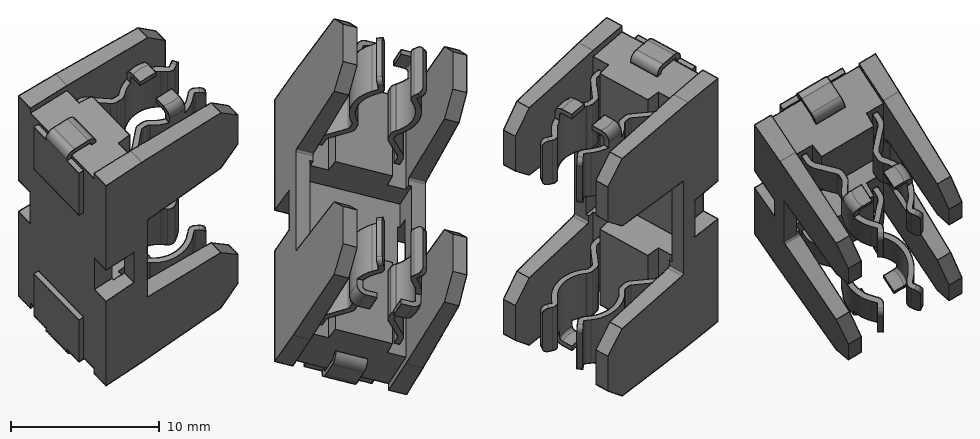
import cadquery as cq
import math


base_half_width = 4.8
tip_half_width = 4.5
bay_half_width = 3.475
housing_height = 11.5
base_half_length = 11.2
end_face_z = 10.65
bay_floor_y = 3.12

wing_shoulder_y = 10.0
wing_outer_shoulder_z = 10.94
wing_outer_tip_z = 9.4
wing_inner_tip_z = 6.2
wing_inner_shoulder_z = 4.73
wing_root_z = 4.32
rail_top_y = 3.6
wing_root_fillet = 0.15

block_top_y = 4.15
block_base_half_width = 2.15
block_top_half_width = 2.07

pocket_half_length = 3.7
pocket_half_width = 3.7
pocket_floor_y = 1.5

window_top_y = 2.43
window_inner_x = 3.53
window_base_half_length = 1.75
window_top_half_length = 1.68

sheet = 0.4
bend_radius = 0.45

spring_bottom_z = 5.7
spring_top_z = 9.7
leg_x = 2.81
leg_bend_y = 3.95
leg_bend_radius = 0.8
waist_x = 1.4
waist_start_y = 5.45
fuse_y = 8.0
cradle_radius = 2.5
cradle_apex_x = 2.21
cradle_lean = math.radians(42)
mouth_x = 1.12
mouth_bend_radius = 0.3
lip_x = 1.65
lip_y = 10.97
lip_corner_radius = 0.45

stop_width = 1.35
stop_inner_x = 0.87
stop_outer_z = 10.88

pad_width = 4.95
pad_inner_z = 5.87
pad_outer_z = 10.57
pad_face_y = -0.5
tongue_width = 2.3
tongue_outer_z = 11.35
tongue_foot_y = 2.0


def bent_strip(plane, corners, radii):
    """Closed outline of a bent sheet; its mid-line has the given corners and one radius per inner corner."""
    points = [cq.Vector(x, y) for x, y in corners]
    directions = [(end - start).normalized() for start, end in zip(points, points[1:])]

    def shifted(point, direction, offset):
        """Point moved sideways to the left of a direction."""
        moved = point + cq.Vector(-direction.y, direction.x) * offset
        return moved.x, moved.y

    def bends(offset):
        """Start, middle and end of every bend arc on the face at this offset from the mid-line."""
        arcs = []
        for corner, before, after, radius in zip(points[1:], directions, directions[1:], radii):
            turn = before.getAngle(after)
            tangent_length = radius * math.tan(turn / 2)
            towards_center = (after - before).normalized()
            arc_middle = corner + towards_center * (radius / math.cos(turn / 2) - radius)
            arcs.append((
                shifted(corner - before * tangent_length, before, offset),
                shifted(arc_middle, (before + after).normalized(), offset),
                shifted(corner + after * tangent_length, after, offset),
            ))
        return arcs

    half = sheet / 2
    outline = plane.moveTo(*shifted(points[0], directions[0], half))
    for arc_start, arc_middle, arc_end in bends(half):
        outline = outline.lineTo(*arc_start).threePointArc(arc_middle, arc_end)
    outline = outline.lineTo(*shifted(points[-1], directions[-1], half))
    outline = outline.lineTo(*shifted(points[-1], directions[-1], -half))
    for arc_start, arc_middle, arc_end in reversed(bends(-half)):
        outline = outline.lineTo(*arc_end).threePointArc(arc_middle, arc_start)
    return outline.lineTo(*shifted(points[0], directions[0], -half)).close()


def box_between(x_range, y_range, z_range):
    sizes = [high - low for low, high in (x_range, y_range, z_range)]
    return cq.Workplane(cq.Solid.makeBox(*sizes, cq.Vector(x_range[0], y_range[0], z_range[0])))


def make_housing():
    half_outline = [
        (0, base_half_length),
        (bay_floor_y, base_half_length),
        (wing_shoulder_y, wing_outer_shoulder_z),
        (housing_height, wing_outer_tip_z),
        (housing_height, wing_inner_tip_z),
        (wing_shoulder_y, wing_inner_shoulder_z),
        (rail_top_y, wing_root_z),
    ]
    mirrored_half = [(y, -z) for y, z in reversed(half_outline)]
    body = (
        cq.Workplane("YZ")
        .polyline(half_outline + mirrored_half)
        .close()
        .extrude(base_half_width, both=True)
    )
    for root_z in (-wing_root_z, wing_root_z):
        root_edge = cq.selectors.NearestToPointSelector((0, rail_top_y, root_z))
        body = body.edges("|X").edges(root_edge).fillet(wing_root_fillet)

    body = body.intersect(
        cq.Workplane("XY")
        .polyline([
            (-base_half_width, 0),
            (base_half_width, 0),
            (tip_half_width, housing_height),
            (-tip_half_width, housing_height),
        ])
        .close()
        .extrude(base_half_length, both=True)
    )

    bay = (-bay_half_width, bay_half_width)
    full_length = (-base_half_length, base_half_length)
    body = body.cut(box_between(bay, (bay_floor_y, housing_height), full_length))
    body = body.cut(box_between(bay, (0, bay_floor_y), (end_face_z, base_half_length)))
    body = body.cut(box_between(bay, (0, bay_floor_y), (-base_half_length, -end_face_z)))

    block = (
        cq.Workplane("XY")
        .polyline([
            (-block_base_half_width, bay_floor_y),
            (block_base_half_width, bay_floor_y),
            (block_top_half_width, block_top_y),
            (-block_top_half_width, block_top_y),
        ])
        .close()
        .extrude(end_face_z, both=True)
    )
    body = body.union(block)
    body = body.cut(box_between(
        (-pocket_half_width, pocket_half_width),
        (pocket_floor_y, housing_height),
        (-pocket_half_length, pocket_half_length),
    ))

    window = (
        cq.Workplane("YZ")
        .workplane(offset=window_inner_x)
        .polyline([
            (0, -window_base_half_length),
            (0, window_base_half_length),
            (window_top_y, window_top_half_length),
            (window_top_y, -window_top_half_length),
        ])
        .close()
        .extrude(base_half_width - window_inner_x)
    )
    return body.cut(window).cut(window.mirror("YZ"))


def make_spring():
    """Spring on the +X side of the +Z end, standing on the bay floor."""
    cradle_corner_x = cradle_apex_x + cradle_radius * (1 / math.cos(cradle_lean) - 1)
    corners = [
        (leg_x, bay_floor_y),
        (leg_x, leg_bend_y),
        (waist_x, waist_start_y),
        (waist_x, fuse_y - (cradle_corner_x - waist_x) / math.tan(cradle_lean)),
        (cradle_corner_x, fuse_y),
        (mouth_x, fuse_y + (cradle_corner_x - mouth_x) / math.tan(cradle_lean)),
        (lip_x, lip_y),
    ]
    radii = [leg_bend_radius, bend_radius, bend_radius, cradle_radius, mouth_bend_radius]
    plane = cq.Workplane("XY").workplane(offset=spring_bottom_z)
    leaf = bent_strip(plane, corners, radii).extrude(spring_top_z - spring_bottom_z)
    lip_middle = (lip_x, lip_y, (spring_bottom_z + spring_top_z) / 2)
    lip_end = leaf.faces(cq.selectors.NearestToPointSelector(lip_middle))
    leaf = lip_end.edges("not |Z").fillet(lip_corner_radius)

    cradle_axis_x = cradle_apex_x - cradle_radius
    fold_z = stop_outer_z - sheet / 2
    fold_corners = [
        (cradle_apex_x, spring_bottom_z),
        (cradle_apex_x, fold_z),
        (cradle_axis_x + sheet, fold_z),
    ]
    fold_plane = cq.Workplane("XZ", origin=(0, fuse_y, 0))
    fold = bent_strip(fold_plane, fold_corners, [bend_radius])
    stop = fold.revolve(360, (cradle_axis_x, 0), (cradle_axis_x, 1)).intersect(box_between(
        (stop_inner_x, cradle_apex_x + sheet),
        (fuse_y - stop_width / 2, fuse_y + stop_width / 2),
        (spring_bottom_z, stop_outer_z),
    ))
    return leaf.union(stop)


def make_terminal():
    """Solder pad under the +Z end with a tongue folded up over the end face."""
    pad = box_between(
        (-pad_width / 2, pad_width / 2),
        (pad_face_y, pad_face_y + sheet),
        (pad_inner_z, pad_outer_z),
    )
    pad_mid_y = pad_face_y + sheet / 2
    tongue_mid_z = tongue_outer_z - sheet / 2
    foot_mid_y = tongue_foot_y - sheet / 2
    corners = [
        (pad_mid_y, pad_inner_z),
        (pad_mid_y, tongue_mid_z),
        (foot_mid_y, tongue_mid_z),
        (foot_mid_y, end_face_z),
    ]
    outline = bent_strip(cq.Workplane("YZ"), corners, [bend_radius, bend_radius])
    tongue = outline.extrude(tongue_width / 2, both=True)
    return pad.union(tongue)


def at_both_ends(body):
    return [body, body.mirror("XY")]


housing = make_housing()

right_spring = make_spring()
springs = []
for spring in (right_spring, right_spring.mirror("YZ")):
    springs += at_both_ends(spring)

terminals = at_both_ends(make_terminal())

result = cq.Compound.makeCompound([body.val() for body in [housing, *springs, *terminals]])